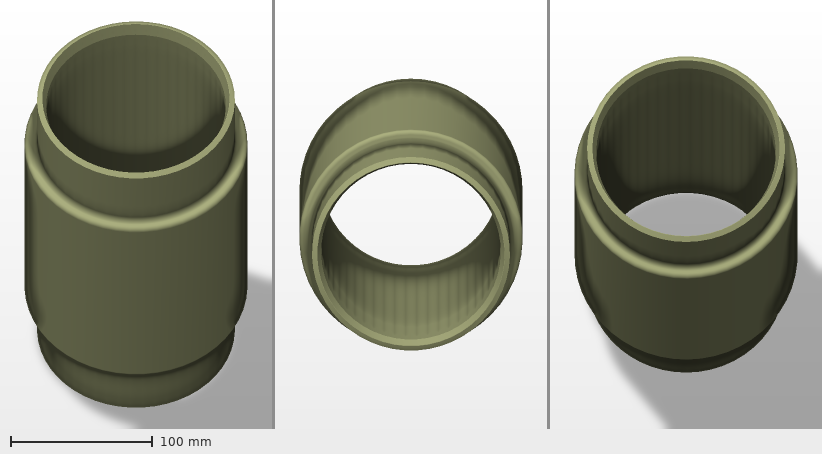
import cadquery as cq

length = 270.0
sleeve_radius = 78.8
sleeve_length = 170.0
neck_radius = 70.0
bore_radius = 63.5
edge_radius = 3.0

bevel_height = 2.0
bevel_width = 3.5
lead_in_depth = 9.0
lead_in_width = 2.7

half_length = length / 2
shoulder = sleeve_length / 2

rim_outline = [
    (bore_radius, half_length - lead_in_depth),
    (bore_radius + lead_in_width, half_length),
    (neck_radius - bevel_width, half_length),
    (neck_radius, half_length - bevel_height),
    (neck_radius, shoulder + edge_radius),
]
neck_root_end = (neck_radius + edge_radius, shoulder)
sleeve_top_edge = (sleeve_radius - edge_radius, shoulder)
sleeve_side_top = (sleeve_radius, shoulder - edge_radius)


def mirrored(point):
    """The same point at the opposite end of the part."""
    radius, height = point
    return radius, -height


wall = (
    cq.Workplane("XZ")
    .polyline(rim_outline)
    .radiusArc(neck_root_end, -edge_radius)
    .lineTo(*sleeve_top_edge)
    .radiusArc(sleeve_side_top, edge_radius)
    .lineTo(*mirrored(sleeve_side_top))
    .radiusArc(mirrored(sleeve_top_edge), edge_radius)
    .lineTo(*mirrored(neck_root_end))
    .radiusArc(mirrored(rim_outline[-1]), -edge_radius)
)
for point in reversed(rim_outline[:-1]):
    wall = wall.lineTo(*mirrored(point))

result = wall.close().revolve(360, (0, 0, 0), (0, 1, 0))